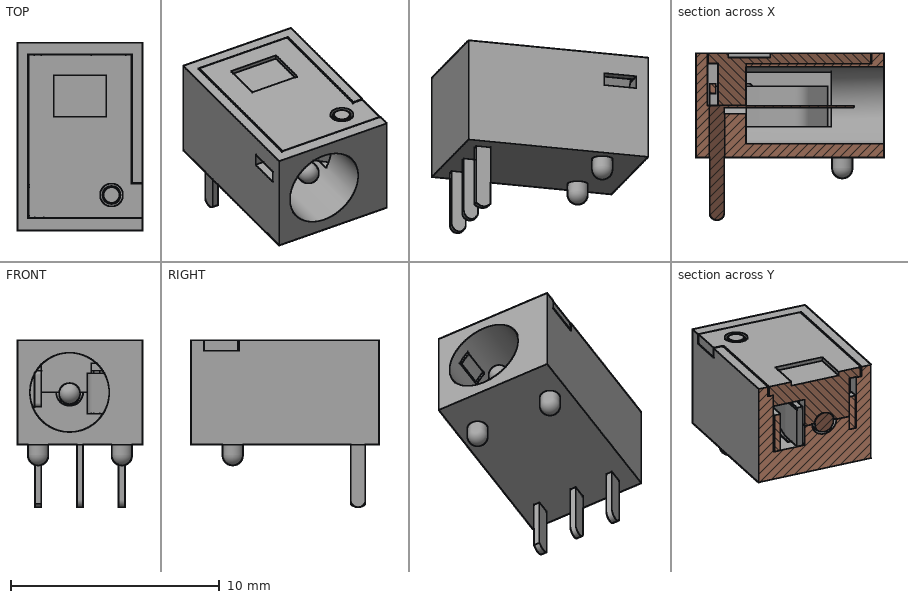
import cadquery as cq


LENGTH = 9.0
WIDTH = 6.0
HEIGHT = 5.0

BORE_X = 2.5
BORE_Z = HEIGHT / 2
BORE_RADIUS = 1.9
BORE_DEPTH = 6.6

PEG_RADIUS = 0.495
PEG_SIDE = 1.0
PEG_Y = 2.0
PEG_STRAIGHT = 0.5

LID_THICKNESS = 0.5
LID_Z = HEIGHT - LID_THICKNESS
RECESS_LEFT = 0.5
RECESS_RIGHT = 5.5
RECESS_FRONT = 0.6
RECESS_REAR = 8.44
EAR_REAR = 2.3
SIDE_GAP = 0.05
END_GAP = 0.03

POCKET_LENGTH_X = 2.5
POCKET_LENGTH_Y = 2.0
POCKET_Y = 6.45
POCKET_DEPTH = 0.2

POST_X = 4.51
POST_Y = 1.71
POST_RADIUS = 0.43
POST_CHAMFER = 0.05
POST_HOLE_RADIUS = 0.55

WINDOW_FRONT = 0.59
WINDOW_REAR = 2.205
WINDOW_BOTTOM = 3.4
WINDOW_TOP = 4.005
LATCH_SPACE_RIGHT = 1.26
LATCH_END_GAP = 0.13
LATCH_FACE_X = 0.52
LATCH_SLANT_END_X = 0.76
LATCH_SLANT_END_Z = 3.57
LATCH_BOTTOM_X = 1.07

TAIL_LENGTH = 3.0
TAIL_FRONT = 7.64
TAIL_REAR = 8.35
TAIL_WIDTH = TAIL_REAR - TAIL_FRONT
TAIL_Y = (TAIL_FRONT + TAIL_REAR) / 2
TAIL_ROUND_SAG = TAIL_WIDTH / 2
TAIL_SHALLOW_SAG = 0.16

PIN_RADIUS = 0.5
PIN_Z = 2.45
PIN_TIP_Y = 0.96
PIN_END_Y = 7.95
PIN_SADDLE_RADIUS = 0.64
PIN_TAIL_LEFT = 2.85
PIN_TAIL_RIGHT = 3.15

PLATE_LEFT = 0.85
PLATE_RIGHT = 1.15
PLATE_FRONT = 6.66
PLATE_BOTTOM = 1.81
PLATE_TOP = 3.55
PLATE_ROUND = 0.19
PLATE_CLEARANCE = 0.03
SPRING_TAIL_LEFT = 4.84
SPRING_TAIL_RIGHT = 5.16
SPRING_THICKNESS = SPRING_TAIL_RIGHT - SPRING_TAIL_LEFT
SPRING_X = (SPRING_TAIL_LEFT + SPRING_TAIL_RIGHT) / 2
SPRING_BOTTOM = 1.485
SPRING_TOP = 3.42
SPRING_FOLD_Y = 2.565
SPRING_NOSE_X = 3.46
SPRING_NOSE_Y = 3.96
SPRING_RETURN_Y = 5.94
SPRING_FOLD_BEND = 0.225
SPRING_NOSE_BEND = 0.54
FREE_END_LEFT = 3.65
FREE_END_RIGHT = 3.94
FREE_END_FRONT = 6.3
FREE_END_REAR = 7.2
BRIDGE_FRONT = 8.05
BRIDGE_BOTTOM = 3.06

CAVITY_LEFT = 3.55
CAVITY_RIGHT = 5.2
CAVITY_FRONT = 2.52
SHOULDER_BOTTOM = 3.89


def block(x_range, y_range, z_range):
    """A box between the given pairs of coordinates."""
    low_x, high_x = x_range
    low_y, high_y = y_range
    low_z, high_z = z_range
    box = cq.Workplane("XY").box(high_x - low_x, high_y - low_y, high_z - low_z, centered=False)
    return box.translate((low_x, low_y, low_z))


def rod(radius, axis_z, start_y, end_y):
    """A cylinder along Y, in line with the bore in X."""
    base = cq.Workplane("XZ", origin=(BORE_X, start_y, axis_z))
    return base.circle(radius).extrude(start_y - end_y)


def bore():
    return rod(BORE_RADIUS, BORE_Z, 0, BORE_DEPTH)


def tail(left, right, top, sag):
    """A flat tail through the housing floor; its tip is an arc that bulges by the sag."""
    shoulder_z = sag - TAIL_LENGTH
    outline = (
        cq.Workplane("YZ", origin=(left, 0, 0))
        .moveTo(TAIL_FRONT, top)
        .lineTo(TAIL_FRONT, shoulder_z)
        .threePointArc((TAIL_Y, -TAIL_LENGTH), (TAIL_REAR, shoulder_z))
        .lineTo(TAIL_REAR, top)
        .close()
    )
    return outline.extrude(right - left)


def lid_plate(left, right, front, rear, ear_right, ear_rear):
    """The lid's outline with its ear, from the lid's underside to the top of the housing."""
    plate = block((left, right), (front, rear), (LID_Z, HEIGHT))
    ear = block((left, ear_right), (front, ear_rear), (LID_Z, HEIGHT))
    return plate.union(ear)


def peg(x):
    """A round peg with a hemispherical tip."""
    stem = cq.Workplane("XY", origin=(x, PEG_Y, 0)).circle(PEG_RADIUS).extrude(-PEG_STRAIGHT)
    tip = cq.Workplane("XY", origin=(x, PEG_Y, -PEG_STRAIGHT)).sphere(PEG_RADIUS)
    return stem.union(tip.intersect(block((0, WIDTH), (0, LENGTH), (-HEIGHT, -PEG_STRAIGHT))))


def build_housing():
    body = block((0, WIDTH), (0, LENGTH), (0, HEIGHT)).cut(bore())

    body = body.cut(
        lid_plate(RECESS_LEFT, RECESS_RIGHT, RECESS_FRONT, RECESS_REAR, WIDTH, EAR_REAR)
    )
    body = body.cut(block((PLATE_RIGHT, CAVITY_LEFT), (BORE_DEPTH, RECESS_REAR), (BORE_Z, LID_Z)))
    body = body.cut(rod(PIN_SADDLE_RADIUS, BORE_Z, BORE_DEPTH, PIN_END_Y))

    window_y = (WINDOW_FRONT, WINDOW_REAR)
    body = body.cut(block((0, LATCH_SPACE_RIGHT), window_y, (WINDOW_BOTTOM, WINDOW_TOP)))
    latch_space_y = (RECESS_FRONT, WINDOW_REAR)
    body = body.cut(block((RECESS_LEFT, LATCH_SPACE_RIGHT), latch_space_y, (WINDOW_BOTTOM, LID_Z)))

    plate_slot_x = (PLATE_LEFT - PLATE_CLEARANCE, PLATE_RIGHT)
    body = body.cut(block(plate_slot_x, (BORE_DEPTH, RECESS_REAR), (PLATE_BOTTOM, LID_Z)))
    cavity_x = (CAVITY_LEFT, CAVITY_RIGHT)
    body = body.cut(block(cavity_x, (CAVITY_FRONT, RECESS_REAR), (SPRING_BOTTOM, LID_Z)))

    for left, right, top in (
        (PLATE_LEFT, PLATE_RIGHT, PLATE_BOTTOM),
        (PIN_TAIL_LEFT, PIN_TAIL_RIGHT, BORE_Z),
        (SPRING_TAIL_LEFT, SPRING_TAIL_RIGHT, SPRING_BOTTOM),
    ):
        body = body.cut(block((left, right), (TAIL_FRONT, TAIL_REAR), (0, top)))

    for x in (PEG_SIDE, WIDTH - PEG_SIDE):
        body = body.union(peg(x))
    post = cq.Workplane("XY", origin=(POST_X, POST_Y, LID_Z)).circle(POST_RADIUS)
    post = post.extrude(LID_THICKNESS).faces(">Z").chamfer(POST_CHAMFER)
    return body.union(post)


def latch():
    """The lid's snap latch: slanted outside, rounded below and hollowed by the bore."""
    latch_front = WINDOW_FRONT + LATCH_END_GAP
    latch_rear = WINDOW_REAR - LATCH_END_GAP
    outline = (
        cq.Workplane("XZ", origin=(0, latch_front, 0))
        .moveTo(LATCH_SPACE_RIGHT, LID_Z)
        .lineTo(RECESS_LEFT + SIDE_GAP, LID_Z)
        .lineTo(LATCH_FACE_X, WINDOW_TOP)
        .lineTo(LATCH_SLANT_END_X, LATCH_SLANT_END_Z)
        .tangentArcPoint((LATCH_BOTTOM_X, WINDOW_BOTTOM), relative=False)
        .lineTo(LATCH_SPACE_RIGHT, WINDOW_BOTTOM)
        .close()
    )
    return outline.extrude(latch_front - latch_rear).cut(bore())


def build_lid():
    body = lid_plate(
        RECESS_LEFT + SIDE_GAP,
        RECESS_RIGHT - SIDE_GAP,
        RECESS_FRONT + END_GAP,
        RECESS_REAR - END_GAP,
        WIDTH - END_GAP,
        EAR_REAR - SIDE_GAP,
    )

    rear_block = block((PLATE_RIGHT, CAVITY_LEFT), (BORE_DEPTH, PIN_END_Y), (BORE_Z, LID_Z))
    shoulder_x = (CAVITY_LEFT, CAVITY_RIGHT)
    shoulder = block(shoulder_x, (BORE_DEPTH, PIN_END_Y), (SHOULDER_BOTTOM, LID_Z))
    body = body.union(shoulder).union(rear_block.cut(rod(PIN_RADIUS, PIN_Z, BORE_DEPTH, PIN_END_Y)))
    body = body.union(latch())

    top = cq.Workplane("XY", origin=(0, 0, HEIGHT))
    pocket = top.center(WIDTH / 2, POCKET_Y).rect(POCKET_LENGTH_X, POCKET_LENGTH_Y).extrude(-POCKET_DEPTH)
    post_hole = top.center(POST_X, POST_Y).circle(POST_HOLE_RADIUS).extrude(-LID_THICKNESS)
    return body.cut(pocket).cut(post_hole)


def build_pin_terminal():
    """The centre pin with its round nose, and the tail under its rear end."""
    nose_y = PIN_TIP_Y + PIN_RADIUS
    nose = cq.Workplane("XY", origin=(BORE_X, nose_y, PIN_Z)).sphere(PIN_RADIUS)
    pin = rod(PIN_RADIUS, PIN_Z, nose_y, PIN_END_Y).union(nose)
    return pin.union(tail(PIN_TAIL_LEFT, PIN_TAIL_RIGHT, BORE_Z, TAIL_ROUND_SAG))


def rounded_plate(left, right, front, rear, bottom, top):
    """A plate on edge whose two front corners are rounded."""
    plate = block((left, right), (front, rear), (bottom, top))
    return plate.edges("|X and <Y").fillet(PLATE_ROUND)


def spring():
    """A strip that runs forward, folds back to a nose inside the bore and returns to a free end."""
    free_end_x = (FREE_END_LEFT + FREE_END_RIGHT) / 2
    corners = [
        (SPRING_X, TAIL_REAR),
        (SPRING_X, SPRING_FOLD_Y),
        (SPRING_NOSE_X, SPRING_NOSE_Y),
        (free_end_x, SPRING_RETURN_Y),
        (free_end_x, FREE_END_REAR),
    ]
    path = cq.Wire.makePolygon([cq.Vector(x, y, SPRING_BOTTOM) for x, y in corners])
    path = path.fillet(SPRING_NOSE_BEND, path.Vertices()[2:-1])
    path = path.fillet(SPRING_FOLD_BEND, path.Vertices()[1:2])
    section = cq.Workplane("XZ", origin=(SPRING_X, TAIL_REAR, SPRING_BOTTOM))
    section = section.center(0, (SPRING_TOP - SPRING_BOTTOM) / 2)
    return section.rect(SPRING_THICKNESS, SPRING_TOP - SPRING_BOTTOM).sweep(cq.Workplane(path))


def build_sleeve_contact():
    """Plain plate and spring, joined behind the pin by a bridge, each with a tail."""
    body = rounded_plate(PLATE_LEFT, PLATE_RIGHT, PLATE_FRONT, TAIL_REAR, PLATE_BOTTOM, PLATE_TOP)
    body = body.union(tail(PLATE_LEFT, PLATE_RIGHT, PLATE_BOTTOM + PLATE_ROUND, TAIL_SHALLOW_SAG))
    bridge_x = (PLATE_LEFT, SPRING_TAIL_RIGHT)
    body = body.union(block(bridge_x, (BRIDGE_FRONT, TAIL_REAR), (BRIDGE_BOTTOM, PLATE_TOP)))
    body = body.union(spring())
    body = body.union(
        rounded_plate(
            FREE_END_LEFT, FREE_END_RIGHT, FREE_END_FRONT, FREE_END_REAR, SPRING_BOTTOM, PLATE_TOP
        )
    )
    return body.union(tail(SPRING_TAIL_LEFT, SPRING_TAIL_RIGHT, SPRING_TOP, TAIL_ROUND_SAG))


housing = build_housing()
lid = build_lid()
pin_terminal = build_pin_terminal()
sleeve_contact = build_sleeve_contact()

result = cq.Compound.makeCompound(
    [body.solids().val() for body in (housing, lid, pin_terminal, sleeve_contact)]
)